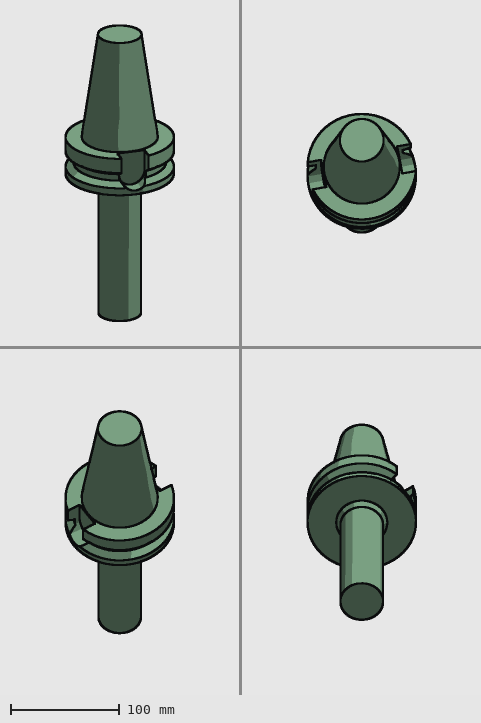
import cadquery as cq

total_length = 279.8
taper_length = 101.8
gauge_gap = 1.5
flange_height = 36.7

gauge_z = total_length - taper_length
flange_top = gauge_z - gauge_gap
flange_bottom = flange_top - flange_height

gauge_diameter = 70.0
taper_rate = 7 / 24
taper_end_diameter = gauge_diameter - taper_length * taper_rate

flange_diameter = 100.0
groove_diameter = 85.3
upper_rim_height = 14.3
lower_rim_height = 7.0
groove_flank_height = 4.5

shank_diameter = 39.5
collar_diameter = 47.0
collar_height = 5.0

slot_width = 26.0
slot_floor_x = 35.5
slot_bottom_gap = 4.0
slot_bottom = flange_bottom + slot_bottom_gap


def make_body():
    """Revolve the half profile of shank, flange and taper about Z."""
    flange_radius = flange_diameter / 2
    groove_radius = groove_diameter / 2
    upper_rim_bottom = flange_top - upper_rim_height
    lower_rim_top = flange_bottom + lower_rim_height
    profile = [
        (0, 0),
        (shank_diameter / 2, 0),
        (shank_diameter / 2, flange_bottom - collar_height),
        (collar_diameter / 2, flange_bottom),
        (flange_radius, flange_bottom),
        (flange_radius, lower_rim_top),
        (groove_radius, lower_rim_top + groove_flank_height),
        (groove_radius, upper_rim_bottom - groove_flank_height),
        (flange_radius, upper_rim_bottom),
        (flange_radius, flange_top),
        (gauge_diameter / 2, flange_top),
        (gauge_diameter / 2, gauge_z),
        (taper_end_diameter / 2, total_length),
        (0, total_length),
    ]
    return cq.Workplane("XZ").polyline(profile).close().revolve(360, (0, 0), (0, 1))


def make_drive_slot(side):
    """Round-bottomed slot cutter on the +X (side = 1) or -X (side = -1) side."""
    half_width = slot_width / 2
    arc_center_z = slot_bottom + half_width
    return (
        cq.Workplane("YZ", origin=(side * slot_floor_x, 0, 0))
        .moveTo(-half_width, flange_top)
        .lineTo(-half_width, arc_center_z)
        .threePointArc((0, slot_bottom), (half_width, arc_center_z))
        .lineTo(half_width, flange_top)
        .close()
        .extrude(side * flange_diameter / 2)
    )


result = make_body()
for side in (-1, 1):
    result = result.cut(make_drive_slot(side))